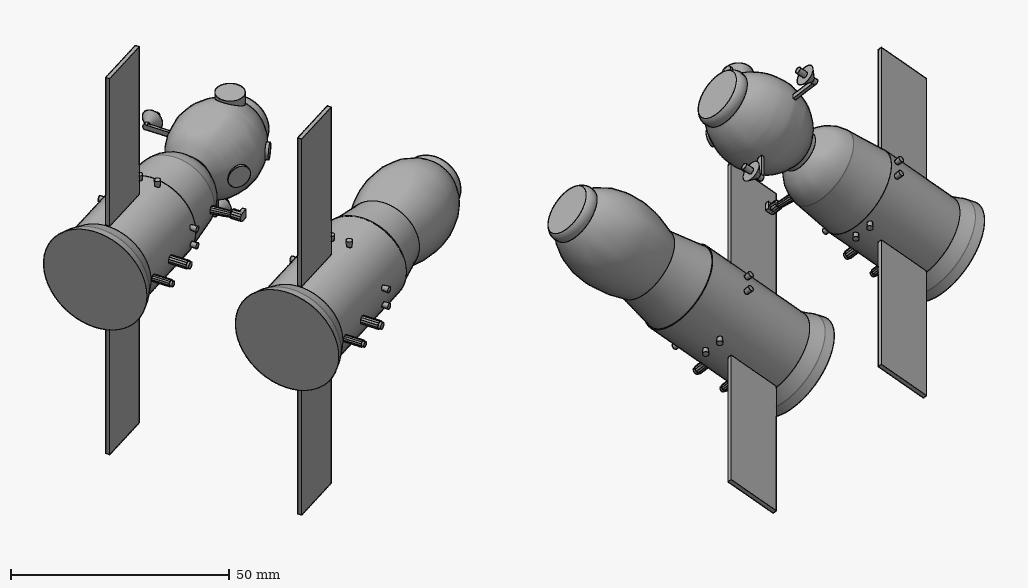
import cadquery as cq
import math

SHIP_SPACING = 49.9
SHIP_LENGTH = 71.7

HULL_RADIUS = 22.8 / 2
SKIRT_RADIUS = 13.5
SKIRT_BAND_RADIUS = 12.8
SKIRT_BAND_Y = 2.3
SKIRT_TOP_Y = 5.8
RING_BASE_RADIUS = 7.1
RING_BASE_Y = 68.9
RING_BULGE = (7.2, 70.2)
RING_TOP_RADIUS = 12.7 / 2

CREW_EQUATOR_Y = 58.1
CREW_SERVICE_TOP_Y = 27.5
DESCENT_BASE_RADIUS = 11.3
DESCENT_SHOULDER_RADIUS = 10.3
DESCENT_SHOULDER_Y = 38.4
DOME_MIDDLE = (8.7, 42.5)
NECK_RADIUS = 5.1
NECK_BASE_Y = 45.5
NECK_TOP_Y = 46.5

CARGO_EQUATOR_Y = 57.7
CARGO_SERVICE_TOP_Y = 36.5
TANK_BASE_RADIUS = 11.1
TANK_TOP_RADIUS = 9.3
TANK_TOP_Y = 46.5

PANEL_SPAN = 106.0
PANEL_THICKNESS = 1.1
PANEL_START_Y = 6.0
PANEL_WIDTH = 14.3

THRUSTER_Y = 25.7
THRUSTER_PAIR_OFFSET = 2.3
THRUSTER_ROOT_DIAMETER = 1.3
THRUSTER_TIP_DIAMETER = 1.5
THRUSTER_REACH = 12.7
THRUSTER_ROOT = 10.6

SIDE_PINS = [(15.3, 2.1), (7.0, 1.8)]
PIN_REACH = 16.5
PIN_TIP_LENGTH = 0.6
PIN_TIP_STEP = 0.2
PRISM_SIDES = 12

DISH_AXIS_DISTANCE = 18.1
DISH_SIDE_OFFSET = 0.2
DISH_DIAMETER = 5.3
DISH_ROOT_DIAMETER = 1.5
DISH_ROOT_Y = 58.9
DISH_RIM_Y = 61.2
FEED_DIAMETER = 1.6
FEED_TIP_Y = 63.4
ELBOW_BASE_Y = 57.8
ARM_THICKNESS = 0.7
ARM_WIDTH = 1.4

DRUM_DIAMETER = 7.0
DRUM_Y = 65.0
DRUM_TOP_Z = 11.8
NUB_DIAMETER = 3.0
NUB_Z = 9.8
NUB_END_Y = 68.9

FLANK_COVERS = [(4.1, 11.1, 63.4, 20), (5.7, 9.9, 51.2, -35)]
COVER_DEPTH = 4.2

PERISCOPE_Y = 37.1
PERISCOPE_RISE = 0.6
PERISCOPE_ROOT_DIAMETER = 2.3
PERISCOPE_ARM_DIAMETER = 1.5
PERISCOPE_HEAD_DIAMETER = 2.3
PERISCOPE_HEAD_X = 15.4
PERISCOPE_END_X = 18.0
PERISCOPE_ARM_OVERLAP = 0.5
VISOR_LENGTH = 1.0
VISOR_HEIGHT = 1.6

ROOT_X = 7.4


def rod(start, direction, length, diameter, end_diameter=None):
    """A round rod or cone from start along direction."""
    end_diameter = diameter if end_diameter is None else end_diameter
    place = (cq.Vector(*start), cq.Vector(*direction))
    if end_diameter == diameter:
        return cq.Workplane(cq.Solid.makeCylinder(diameter / 2, length, *place))
    return cq.Workplane(cq.Solid.makeCone(diameter / 2, end_diameter / 2, length, *place))


def prism(start, direction, length, diameter, end_diameter=None):
    """A faceted rod from start along direction; it tapers if an end diameter is given."""
    end_diameter = diameter if end_diameter is None else end_diameter
    plane = cq.Plane(origin=start, xDir=(0, 0, 1), normal=direction)
    return (
        cq.Workplane(plane)
        .polygon(PRISM_SIDES, diameter)
        .workplane(offset=length)
        .polygon(PRISM_SIDES, end_diameter)
        .loft(ruled=True)
    )


def bulge_middle(equator_y, end_radius, end_y):
    """Middle of the arc that leaves the equator parallel to Y and ends at the given point."""
    height = end_y - equator_y
    drop = HULL_RADIUS - end_radius
    arc_radius = (height**2 + drop**2) / (2 * drop)
    half_angle = math.asin(height / arc_radius) / 2
    return (
        HULL_RADIUS - arc_radius * (1 - math.cos(half_angle)),
        equator_y + arc_radius * math.sin(half_angle),
    )


def spin(profile):
    """Close the outline along the Y axis and revolve it."""
    return profile.close().revolve(360, (0, 0, 0), (0, 1, 0))


def add_orbital_outline(profile, base_radius, base_y, equator_y):
    """Continue an outline from the module's base over its bulge and the docking ring."""
    bulge = [
        bulge_middle(equator_y, base_radius, base_y),
        (HULL_RADIUS, equator_y),
        bulge_middle(equator_y, RING_BASE_RADIUS, RING_BASE_Y),
        (RING_BASE_RADIUS, RING_BASE_Y),
    ]
    return (
        profile.spline(bulge, includeCurrent=True)
        .threePointArc(RING_BULGE, (RING_TOP_RADIUS, SHIP_LENGTH))
        .lineTo(0, SHIP_LENGTH)
    )


def add_thrusters(hull):
    """Pairs of nozzles on the four sides."""
    for quarter in range(4):
        for side in (-1, 1):
            nozzle = rod(
                (THRUSTER_ROOT, THRUSTER_Y, side * THRUSTER_PAIR_OFFSET),
                (1, 0, 0),
                THRUSTER_REACH - THRUSTER_ROOT,
                THRUSTER_ROOT_DIAMETER,
                THRUSTER_TIP_DIAMETER,
            )
            hull = hull.union(nozzle.rotate((0, 0, 0), (0, 1, 0), 90 * quarter))
    return hull


def add_side_pins(hull):
    """Pins on the +X side, each with a thinner tip."""
    shoulder = PIN_REACH - PIN_TIP_LENGTH
    for y, diameter in SIDE_PINS:
        hull = hull.union(prism((ROOT_X, y, 0), (1, 0, 0), shoulder - ROOT_X, diameter))
        tip_diameter = diameter - 2 * PIN_TIP_STEP
        hull = hull.union(rod((shoulder, y, 0), (1, 0, 0), PIN_TIP_LENGTH, tip_diameter))
    return hull


def service_module(top_y):
    """Engine skirt and cylinder with solar panels, thrusters and side pins."""
    hull = spin(
        cq.Workplane("XY")
        .lineTo(SKIRT_RADIUS, 0)
        .lineTo(SKIRT_BAND_RADIUS, SKIRT_BAND_Y)
        .lineTo(HULL_RADIUS, SKIRT_TOP_Y)
        .lineTo(HULL_RADIUS, top_y)
        .lineTo(0, top_y)
    )
    panels = cq.Workplane("XY").box(PANEL_THICKNESS, PANEL_WIDTH, PANEL_SPAN, centered=(True, False, True))
    hull = hull.union(panels.translate((0, PANEL_START_Y, 0)))
    return add_side_pins(add_thrusters(hull))


def periscope():
    """Tapered faceted arm with a wider head and a visor at its end that rises toward +Y."""
    head_y = PERISCOPE_Y + PERISCOPE_RISE
    run = PERISCOPE_END_X - ROOT_X
    arm = prism(
        (ROOT_X, PERISCOPE_Y - PERISCOPE_RISE, 0),
        (run, 2 * PERISCOPE_RISE, 0),
        PERISCOPE_HEAD_X + PERISCOPE_ARM_OVERLAP - ROOT_X,
        PERISCOPE_ROOT_DIAMETER,
        PERISCOPE_ARM_DIAMETER,
    )
    head_length = PERISCOPE_END_X - PERISCOPE_HEAD_X
    head = prism((PERISCOPE_HEAD_X, head_y, 0), (1, 0, 0), head_length, PERISCOPE_HEAD_DIAMETER)
    visor = cq.Workplane("XY").box(
        VISOR_LENGTH, VISOR_HEIGHT, PERISCOPE_HEAD_DIAMETER, centered=(False, False, True)
    )
    return arm.union(head).union(visor.translate((PERISCOPE_END_X - VISOR_LENGTH, head_y, 0)))


def descent_module():
    """Bell-shaped capsule with a periscope."""
    capsule = spin(
        cq.Workplane("XY")
        .moveTo(0, CREW_SERVICE_TOP_Y)
        .lineTo(DESCENT_BASE_RADIUS, CREW_SERVICE_TOP_Y)
        .lineTo(DESCENT_SHOULDER_RADIUS, DESCENT_SHOULDER_Y)
        .threePointArc(DOME_MIDDLE, (NECK_RADIUS, NECK_BASE_Y))
        .lineTo(0, NECK_BASE_Y)
    )
    return capsule.union(periscope())


def dish_antenna():
    """Dish with a feed toward +Y, on an elbow at the end of an arm along -X."""
    x = -DISH_AXIS_DISTANCE
    z = DISH_SIDE_OFFSET
    along = (0, 1, 0)
    elbow = rod((x, ELBOW_BASE_Y, z), along, DISH_ROOT_Y - ELBOW_BASE_Y, DISH_ROOT_DIAMETER)
    dish = rod((x, DISH_ROOT_Y, z), along, DISH_RIM_Y - DISH_ROOT_Y, DISH_ROOT_DIAMETER, DISH_DIAMETER)
    feed = rod((x, DISH_RIM_Y, z), along, FEED_TIP_Y - DISH_RIM_Y, FEED_DIAMETER)
    arm_length = DISH_AXIS_DISTANCE - ROOT_X
    arm = cq.Workplane("XY").box(arm_length, ARM_THICKNESS, ARM_WIDTH, centered=(False, False, True))
    return elbow.union(dish).union(feed).union(arm.translate((x, ELBOW_BASE_Y, z)))


def hatch_drum():
    """Upright drum with a nub on its +Y side."""
    drum = rod((0, DRUM_Y, 0), (0, 0, 1), DRUM_TOP_Z, DRUM_DIAMETER)
    return drum.union(rod((0, DRUM_Y, NUB_Z), (0, 1, 0), NUB_END_Y - DRUM_Y, NUB_DIAMETER))


def flank_cover(diameter, x, y, tilt):
    """Short round cover whose outer face is centred at (x, y, 0)."""
    direction = (math.cos(math.radians(tilt)), math.sin(math.radians(tilt)), 0)
    start = (x - COVER_DEPTH * direction[0], y - COVER_DEPTH * direction[1], 0)
    return rod(start, direction, COVER_DEPTH, diameter)


def crew_orbital_module():
    """Neck, egg-shaped cabin and docking ring with the drum, covers and dish antennas."""
    outline = (
        cq.Workplane("XY")
        .moveTo(0, NECK_BASE_Y)
        .lineTo(NECK_RADIUS, NECK_BASE_Y)
        .lineTo(NECK_RADIUS, NECK_TOP_Y)
    )
    module = spin(add_orbital_outline(outline, NECK_RADIUS, NECK_TOP_Y, CREW_EQUATOR_Y))
    module = module.union(hatch_drum())
    for cover in FLANK_COVERS:
        module = module.union(flank_cover(*cover))
    for turn in (0, -90):
        module = module.union(dish_antenna().rotate((0, 0, 0), (0, 1, 0), turn))
    return module


def cargo_module():
    """Tapered tank section, rounded cargo hold and docking ring."""
    outline = (
        cq.Workplane("XY")
        .moveTo(0, CARGO_SERVICE_TOP_Y)
        .lineTo(TANK_BASE_RADIUS, CARGO_SERVICE_TOP_Y)
        .lineTo(TANK_TOP_RADIUS, TANK_TOP_Y)
    )
    return spin(add_orbital_outline(outline, TANK_TOP_RADIUS, TANK_TOP_Y, CARGO_EQUATOR_Y))


crew_bodies = [service_module(CREW_SERVICE_TOP_Y), descent_module(), crew_orbital_module()]
cargo_bodies = [
    body.translate((SHIP_SPACING, 0, 0)) for body in (service_module(CARGO_SERVICE_TOP_Y), cargo_module())
]

result = cq.Compound.makeCompound([body.solids().val() for body in crew_bodies + cargo_bodies])